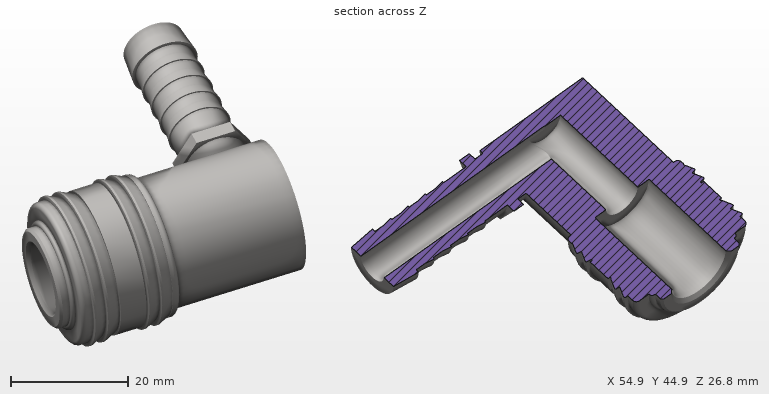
import cadquery as cq
import math


overall_length = 54.9
overall_depth = 44.85
sleeve_ridge_radius = 13.4
hose_tip_x = sleeve_ridge_radius - overall_length

hex_across_flats = 12.3
hex_across_corners = hex_across_flats / math.cos(math.radians(30))
hex_back_x = -13.4
hex_width = 2.25
hex_front_x = hex_back_x - hex_width

body_radius = 11.65
body_end_y = 6.35
nose_y = hex_across_corners / 2 - overall_depth
nose_radius = 8.95
nose_chamfer = 0.45
shoulder_radius = 9.8
shoulder_width = 0.7
shoulder_fillet = 0.65

sleeve_back_y = -17.2
sleeve_front_y = -35.3
collar_radius = 12.75
collar_fillet = 0.8
back_collar_width = 1.45
band_radius = 12.9
band_back_y = -23.55
band_front_y = -28.3
groove_radius = 12.4
ridge_root_radius = 12.6
ridge_slope_width = 1.85
ridge_land_width = 0.4
ridge_underside_width = 0.1
ridge_width = ridge_slope_width + ridge_land_width + ridge_underside_width
back_ridges_y = sleeve_back_y - back_collar_width
front_ridges_y = -28.55
ridges_per_group = 2

shank_radius = 5.4
neck_radius = 5.6
tip_radius = 5.5
tip_barb_radius = 6.05
tip_barb_length = 5.25
barb_radius = 5.7
barb_length = 1.85
barb_pitch = 3.9
barb_count = 4
first_barb_x = -34.25

socket_radius = 6.1
socket_chamfer = 0.65
socket_floor_y = sleeve_back_y
inner_bore_radius = 3.55
inner_bore_floor_y = 2.85
hose_bore_radius = 2.95


def cylinder_y(radius, start_y, end_y):
    """Cylinder on the body axis between two Y positions, start_y < end_y."""
    plane = cq.Plane(origin=(0, start_y, 0), xDir=(1, 0, 0), normal=(0, 1, 0))
    return cq.Workplane(plane).circle(radius).extrude(end_y - start_y)


def cylinder_x(radius, start_x, end_x):
    """Cylinder on the hose axis between two X positions, start_x < end_x."""
    return cq.Workplane("YZ", origin=(start_x, 0, 0)).circle(radius).extrude(end_x - start_x)


def cone_x(start_radius, end_radius, start_x, end_x):
    """Cone on the hose axis that widens from start_x to end_x."""
    profile = [(start_x, 0), (start_x, start_radius), (end_x, end_radius), (end_x, 0)]
    return cq.Workplane("XY").polyline(profile).close().revolve(360, (0, 0, 0), (1, 0, 0))


def revolve_about_y(profile):
    """Solid turned about the body axis from (radius, y) points."""
    return cq.Workplane("XY").polyline(profile).close().revolve(360, (0, 0, 0), (0, 1, 0))


def ridge_group(start_y):
    """Saw-tooth ridges: each one slopes out toward -Y, then has a narrow land
    and a short steep underside."""
    points = []
    for index in range(ridges_per_group):
        root_y = start_y - index * ridge_width
        crest_y = root_y - ridge_slope_width
        points += [
            (ridge_root_radius, root_y),
            (sleeve_ridge_radius, crest_y),
            (sleeve_ridge_radius, crest_y - ridge_land_width),
        ]
    end_y = start_y - ridges_per_group * ridge_width
    profile = [(0, start_y)] + points + [(ridge_root_radius, end_y), (0, end_y)]
    return revolve_about_y(profile)


def make_sleeve():
    front_collar_y = front_ridges_y - ridges_per_group * ridge_width
    back_collar = cylinder_y(collar_radius, back_ridges_y, sleeve_back_y)
    back_collar = back_collar.faces(">Y").edges().fillet(collar_fillet)
    front_collar = cylinder_y(collar_radius, sleeve_front_y, front_collar_y)
    front_collar = front_collar.faces("<Y").edges().fillet(collar_fillet)
    core = cylinder_y(groove_radius, front_collar_y, back_ridges_y)
    band = cylinder_y(band_radius, band_front_y, band_back_y)
    sleeve = core.union(back_collar).union(front_collar).union(band)
    return sleeve.union(ridge_group(back_ridges_y)).union(ridge_group(front_ridges_y))


def make_nose():
    nose = cylinder_y(nose_radius, nose_y, sleeve_front_y)
    nose = nose.faces("<Y").edges().chamfer(nose_chamfer)
    shoulder = cylinder_y(shoulder_radius, sleeve_front_y - shoulder_width, sleeve_front_y)
    shoulder = shoulder.faces("<Y").edges().fillet(shoulder_fillet)
    return nose.union(shoulder)


def make_hose_tail():
    tail = cylinder_x(shank_radius, hose_tip_x + tip_barb_length, hex_front_x)
    tail = tail.union(cylinder_x(neck_radius, hex_back_x, 0))
    hexagon = cq.Workplane("YZ", origin=(hex_front_x, 0, 0)).polygon(6, hex_across_corners)
    tail = tail.union(hexagon.extrude(hex_width))
    tail = tail.union(cone_x(tip_radius, tip_barb_radius, hose_tip_x, hose_tip_x + tip_barb_length))
    for index in range(barb_count):
        barb_x = first_barb_x + index * barb_pitch
        tail = tail.union(cone_x(shank_radius, barb_radius, barb_x, barb_x + barb_length))
    return tail


def make_bores():
    mouth_radius = socket_radius + socket_chamfer
    socket_profile = [
        (0, nose_y),
        (mouth_radius, nose_y),
        (socket_radius, nose_y + socket_chamfer),
        (socket_radius, socket_floor_y),
        (0, socket_floor_y),
    ]
    socket = revolve_about_y(socket_profile)
    inner_bore = cylinder_y(inner_bore_radius, socket_floor_y, inner_bore_floor_y)
    hose_bore = cylinder_x(hose_bore_radius, hose_tip_x, 0)
    return socket.union(inner_bore).union(hose_bore)


body = cylinder_y(body_radius, sleeve_back_y, body_end_y)
result = body.union(make_sleeve()).union(make_nose()).union(make_hose_tail()).cut(make_bores())